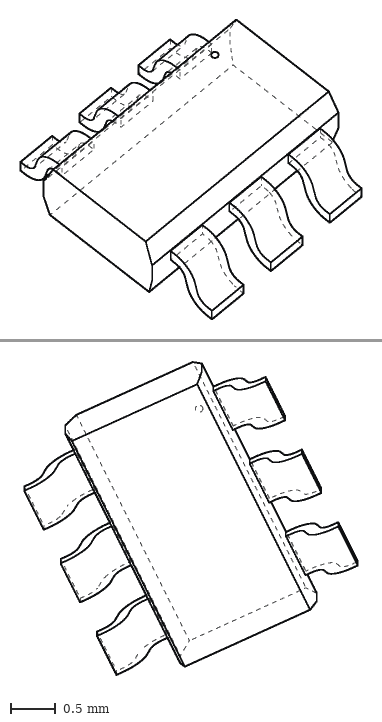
import cadquery as cq
import math


housing_length = 3.0
housing_width = 1.7
housing_bottom = 0.1
housing_top = 0.99
band_height = 0.288
cap_height = (housing_top - housing_bottom - band_height) / 2
band_bottom = housing_bottom + cap_height
band_top = band_bottom + band_height
top_side_inset = 0.125
bottom_side_inset = 0.072
end_inset = 0.027

lead_span = 3.0
lead_pitch = 0.948
leads_per_side = 3
lead_width = 0.51
lead_thickness = 0.162
lead_top = 0.675
foot_flat = 0.07
inner_radius = 0.162
outer_radius = inner_radius + lead_thickness
bend_angle = 75.0

dot_diameter = 0.085
dot_height = 0.003
dot_x = -0.55
dot_y = lead_pitch * (leads_per_side - 1) / 2


def make_cap(outer_z, band_z, side_inset):
    """Tapered block between the band edge and the smaller outer face."""
    return (
        cq.Workplane("XY", origin=(0, 0, band_z))
        .rect(housing_width, housing_length)
        .workplane(offset=outer_z - band_z)
        .rect(housing_width - 2 * side_inset, housing_length - 2 * end_inset)
        .loft(ruled=True)
    )


def make_housing():
    band = (
        cq.Workplane("XY", origin=(0, 0, band_bottom))
        .rect(housing_width, housing_length)
        .extrude(band_height)
    )
    bottom_cap = make_cap(housing_bottom, band_bottom, bottom_side_inset)
    top_cap = make_cap(housing_top, band_top, top_side_inset)
    return band.union(bottom_cap).union(top_cap)


def bend_point(centre, radius, angle):
    """Point on a bend, with the angle in degrees from +X toward +Z."""
    turn = math.radians(angle)
    return (centre[0] + radius * math.cos(turn), centre[1] + radius * math.sin(turn))


def make_left_lead(y):
    """Gull-wing lead on the -X side, ending flush against the housing wall."""
    tip_x = -lead_span / 2
    wall_x = -housing_width / 2
    lead_underside = lead_top - lead_thickness

    slope = math.radians(bend_angle)
    centreline_radius = (inner_radius + outer_radius) / 2
    straight_rise = lead_underside - 2 * centreline_radius * (1 - math.cos(slope))
    bends_run = 2 * centreline_radius * math.sin(slope) + straight_rise / math.tan(slope)

    foot_bend = (tip_x + foot_flat, outer_radius)
    shoulder_bend = (foot_bend[0] + bends_run, lead_top - outer_radius)
    foot_end = bend_angle - 90
    foot_middle = bend_angle / 2 - 90
    shoulder_start = bend_angle + 90
    shoulder_middle = bend_angle / 2 + 90

    outline = (
        cq.Workplane("XZ", origin=(0, y, 0))
        .moveTo(tip_x, 0)
        .lineTo(foot_bend[0], 0)
        .threePointArc(
            bend_point(foot_bend, outer_radius, foot_middle),
            bend_point(foot_bend, outer_radius, foot_end),
        )
        .lineTo(*bend_point(shoulder_bend, inner_radius, shoulder_start))
        .threePointArc(
            bend_point(shoulder_bend, inner_radius, shoulder_middle),
            (shoulder_bend[0], lead_underside),
        )
        .lineTo(wall_x, lead_underside)
        .lineTo(wall_x, lead_top)
        .lineTo(shoulder_bend[0], lead_top)
        .threePointArc(
            bend_point(shoulder_bend, outer_radius, shoulder_middle),
            bend_point(shoulder_bend, outer_radius, shoulder_start),
        )
        .lineTo(*bend_point(foot_bend, inner_radius, foot_end))
        .threePointArc(
            bend_point(foot_bend, inner_radius, foot_middle),
            (foot_bend[0], lead_thickness),
        )
        .lineTo(tip_x, lead_thickness)
        .close()
    )
    return outline.extrude(lead_width / 2, both=True)


def make_leads():
    """Mirrored pairs of leads, spaced evenly along Y."""
    leads = []
    for row in range(leads_per_side):
        y = (row - (leads_per_side - 1) / 2) * lead_pitch
        left_lead = make_left_lead(y)
        right_lead = left_lead.mirror("YZ")
        leads += [left_lead.val(), right_lead.val()]
    return leads


def make_dot():
    return (
        cq.Workplane("XY", origin=(dot_x, dot_y, housing_top))
        .circle(dot_diameter / 2)
        .extrude(dot_height)
    )


housing = make_housing()
leads = make_leads()
pin_one_dot = make_dot()

result = cq.Compound.makeCompound([housing.val(), *leads, pin_one_dot.val()])